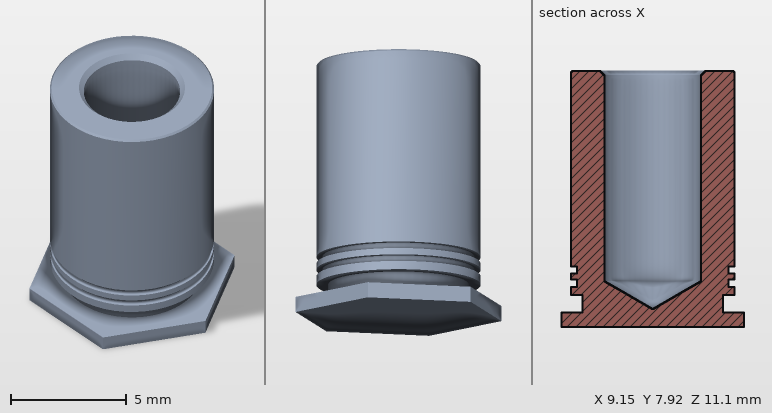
import cadquery as cq
import math

hex_across_flats = 7.92
hex_thickness = 0.67
hex_across_corners = hex_across_flats / math.cos(math.pi / 6)

total_height = 11.11
body_diameter = 7.11
neck_diameter = 6.1
groove_diameter = 6.6
rim_chamfer = 0.08

neck_top = 1.4
groove_height = 0.29
groove_bottoms = (1.77, 2.33)

bore_diameter = 4.17
bore_chamfer = 0.21
bore_floor = 2.0
drill_point_angle = 120.0


def cylinder(diameter, bottom, top):
    """Upright cylinder on the Z axis between two levels."""
    return cq.Workplane("XY").workplane(offset=bottom).circle(diameter / 2).extrude(top - bottom)


def make_body():
    """Chamfered barrel with two shallow grooves near its lower end."""
    body = cylinder(body_diameter, neck_top, total_height).faces(">Z").chamfer(rim_chamfer)
    for bottom in groove_bottoms:
        top = bottom + groove_height
        ring = cylinder(body_diameter, bottom, top).cut(cylinder(groove_diameter, bottom, top))
        body = body.cut(ring)
    return body


def make_bore():
    """Revolved blind hole: conical bottom, straight wall and chamfered mouth."""
    radius = bore_diameter / 2
    point_depth = radius / math.tan(math.radians(drill_point_angle / 2))
    profile = [
        (0, bore_floor - point_depth),
        (radius, bore_floor),
        (radius, total_height - bore_chamfer),
        (radius + bore_chamfer, total_height),
        (0, total_height),
    ]
    return cq.Workplane("XZ").polyline(profile).close().revolve(360, (0, 0, 0), (0, 1, 0))


head = cq.Workplane("XY").polygon(6, hex_across_corners).extrude(hex_thickness)
neck = cylinder(neck_diameter, hex_thickness, neck_top)
result = head.union(neck).union(make_body()).cut(make_bore())